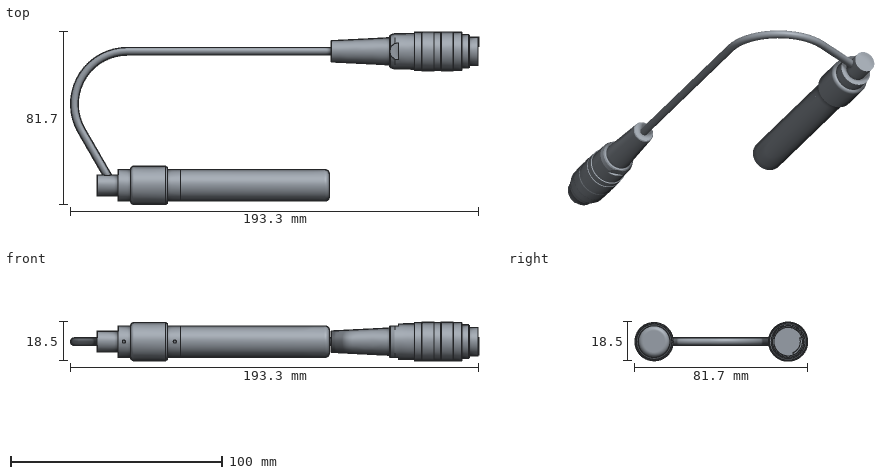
import cadquery as cq
import math


boss_diameter = 10.0
boss_length = 10.0
bore_diameter = 13.0
probe_diameter = 15.0
sleeve_length = 29.5
collar_length = 5.9
grip_diameter = 18.15
grip_length = 17.5
grip_chamfer_radial = 0.7
grip_chamfer_length = 1.0
probe_length = 110.0
tube_end_fillet = 2.3
set_screw_hole_diameter = 1.5
set_screw_inset = 2.7

sleeve_start = boss_length
sleeve_end = sleeve_start + sleeve_length
grip_start = sleeve_start + collar_length
grip_end = grip_start + grip_length
core_end = (sleeve_start + sleeve_end) / 2
set_screw_positions = [sleeve_start + set_screw_inset, sleeve_end - set_screw_inset]

connector_offset = 63.4
connector_start = 110.6
boot_front_diameter = 10.2
boot_front_chamfer = 0.4
boot_rear_diameter = 13.0
backshell_start = 138.4
backshell_front_diameter = 15.5
backshell_edge_chamfer = 0.5
backshell_cone_end = 140.85
backshell_cone_diameter = 16.8
backshell_rear_diameter = 17.1
flats_end = 142.5
across_flats = 15.0
shell_start = 150.15
shell_diameter = 18.15
shell_end = 172.7
shell_end_chamfer = 0.3
groove_start = 153.5
groove_width = 0.3
groove_depth = 0.4
rib_diameter = 18.5
front_rib_end = 159.5
rear_rib_start = 162.5
rear_rib_end = 168.7
rib_flank = 0.4
nose_diameter = 16.0
nose_end = 176.25
nose_chamfer = 0.6
plug_diameter = 13.5
plug_end = 180.25
key_length = 0.47
key_wall = 1.0
key_start_angle = -67.0
key_end_angle = 17.0

cable_diameter = 3.7
bend_radius = 25.0
bend_center_x = 14.3
cable_slant = 30.0


def cylinder(start, end, diameter):
    """Round bar on the probe axis from start to end."""
    return cq.Workplane("YZ", origin=(start, 0, 0)).circle(diameter / 2).extrude(end - start)


def make_cable():
    """Swept cable that ends on the boot's front face and on the round side of the boss."""
    slant = math.radians(cable_slant)
    bend_center_y = connector_offset - bend_radius
    bend_start = (bend_center_x, connector_offset)
    bend_middle_angle = math.radians(90 + (90 + cable_slant) / 2)
    bend_middle = (
        bend_center_x + bend_radius * math.cos(bend_middle_angle),
        bend_center_y + bend_radius * math.sin(bend_middle_angle),
    )
    bend_end = (
        bend_center_x - bend_radius * math.cos(slant),
        bend_center_y - bend_radius * math.sin(slant),
    )
    axis_point = (bend_end[0] + bend_end[1] * math.tan(slant), 0)
    path = (
        cq.Workplane("XY")
        .moveTo(connector_start, connector_offset)
        .lineTo(*bend_start)
        .threePointArc(bend_middle, bend_end)
        .lineTo(*axis_point)
    )
    swept = (
        cq.Workplane("YZ", origin=(connector_start, connector_offset, 0))
        .circle(cable_diameter / 2)
        .sweep(path)
    )
    return swept.cut(cylinder(0, boss_length, boss_diameter))


def make_core():
    """Boss that takes the cable, with a thicker shank inside the sleeve."""
    boss = cylinder(0, boss_length, boss_diameter)
    shank = cylinder(sleeve_start, core_end, bore_diameter)
    return boss.union(shank)


def make_sleeve():
    """Bored sleeve with a raised grip and a set screw hole on either side of it."""
    probe_radius = probe_diameter / 2
    grip_radius = grip_diameter / 2
    step = grip_radius - probe_radius
    round_offset = step * math.sqrt(0.5)
    round_middle = (grip_start + step - round_offset, probe_radius + round_offset)
    outline = (
        cq.Workplane("XZ")
        .moveTo(sleeve_start, bore_diameter / 2)
        .lineTo(sleeve_start, probe_radius)
        .lineTo(grip_start, probe_radius)
        .threePointArc(round_middle, (grip_start + step, grip_radius))
        .lineTo(grip_end - grip_chamfer_length, grip_radius)
        .lineTo(grip_end, grip_radius - grip_chamfer_radial)
        .lineTo(grip_end, probe_radius)
        .lineTo(sleeve_end, probe_radius)
        .lineTo(sleeve_end, bore_diameter / 2)
        .close()
    )
    sleeve = outline.revolve(360, (0, 0, 0), (1, 0, 0))
    set_screw_holes = (
        cq.Workplane("XZ")
        .pushPoints([(x, 0) for x in set_screw_positions])
        .circle(set_screw_hole_diameter / 2)
        .extrude(probe_diameter)
    )
    return sleeve.cut(set_screw_holes)


def make_tube():
    """Round-ended probe tube with a stub that meets the core inside the sleeve."""
    tube = cylinder(sleeve_end, probe_length, probe_diameter)
    tube = tube.faces(">X").edges().fillet(tube_end_fillet)
    stub = cylinder(core_end, sleeve_end, bore_diameter)
    return tube.union(stub)


def wrench_flats():
    """Two slabs outside the flats, above and below the front of the backshell."""
    slab_height = shell_diameter
    slab_center = (across_flats + slab_height) / 2
    return (
        cq.Workplane("YZ", origin=(backshell_start, connector_offset, 0))
        .pushPoints([(0, slab_center), (0, -slab_center)])
        .rect(2 * shell_diameter, slab_height)
        .extrude(flats_end - backshell_start)
    )


def plug_key():
    """Thin curved key standing out of the plug's end face."""
    outer = plug_diameter / 2
    inner = outer - key_wall
    middle_angle = (key_start_angle + key_end_angle) / 2

    def at(radius, degrees):
        angle = math.radians(degrees)
        return (radius * math.cos(angle), radius * math.sin(angle))

    return (
        cq.Workplane("YZ", origin=(plug_end, connector_offset, 0))
        .moveTo(*at(outer, key_start_angle))
        .threePointArc(at(outer, middle_angle), at(outer, key_end_angle))
        .lineTo(*at(inner, key_end_angle))
        .threePointArc(at(inner, middle_angle), at(inner, key_start_angle))
        .close()
        .extrude(key_length)
    )


def make_connector():
    """Connector with its boot, ending in the plug."""
    boot_radius = boot_front_diameter / 2
    backshell_radius = backshell_front_diameter / 2
    shell_radius = shell_diameter / 2
    rib_radius = rib_diameter / 2
    nose_radius = nose_diameter / 2
    plug_radius = plug_diameter / 2
    outline = [
        (connector_start, 0),
        (connector_start, boot_radius - boot_front_chamfer),
        (connector_start + boot_front_chamfer, boot_radius),
        (backshell_start, boot_rear_diameter / 2),
        (backshell_start, backshell_radius - backshell_edge_chamfer),
        (backshell_start + backshell_edge_chamfer, backshell_radius),
        (backshell_cone_end, backshell_cone_diameter / 2),
        (shell_start, backshell_rear_diameter / 2),
        (shell_start, shell_radius),
        (groove_start, shell_radius),
        (groove_start, shell_radius - groove_depth),
        (groove_start + groove_width, shell_radius - groove_depth),
        (groove_start + groove_width, rib_radius),
        (front_rib_end, rib_radius),
        (front_rib_end, shell_radius),
        (rear_rib_start, shell_radius),
        (rear_rib_start + rib_flank, rib_radius),
        (rear_rib_end - rib_flank, rib_radius),
        (rear_rib_end, shell_radius),
        (shell_end - shell_end_chamfer, shell_radius),
        (shell_end, shell_radius - shell_end_chamfer),
        (shell_end, nose_radius),
        (nose_end - nose_chamfer, nose_radius),
        (nose_end, nose_radius - nose_chamfer),
        (nose_end, plug_radius),
        (plug_end, plug_radius),
        (plug_end, 0),
    ]
    connector = (
        cq.Workplane("XZ", origin=(0, connector_offset, 0))
        .polyline(outline)
        .close()
        .revolve(360, (0, 0, 0), (1, 0, 0))
    )
    return connector.cut(wrench_flats()).union(plug_key())


cable = make_cable()
core = make_core()
sleeve = make_sleeve()
tube = make_tube()
connector = make_connector()

result = cq.Compound.makeCompound(
    [core.val(), sleeve.val(), tube.val(), cable.val(), connector.val()]
)